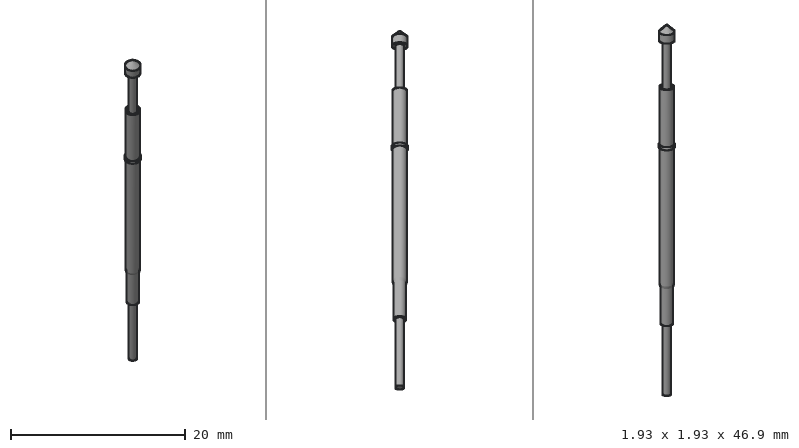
import cadquery as cq
import math

overall_length = 46.85

head_diameter = 1.8
head_rim_length = 1.1
point_height = head_diameter / 2
shaft_diameter = 1.0
barrel_diameter = 1.36
barrel_recess = 0.15

tail_diameter = 1.0
tail_length = 8.97
lower_diameter = 1.47
lower_length = 4.68
taper_length = 0.35
tube_diameter = 1.68
receptacle_length = 38.95
bore_diameter = barrel_diameter

ring_diameter = 1.93
ring_crest_z = 31.5
ring_half_height = 0.2

rim_top_z = overall_length - point_height
head_bottom_z = rim_top_z - head_rim_length
barrel_top_z = receptacle_length - barrel_recess
taper_bottom_z = tail_length + lower_length
taper_top_z = taper_bottom_z + taper_length
bore_floor_z = taper_top_z
ring_bottom_z = ring_crest_z - ring_half_height
ring_top_z = ring_crest_z + ring_half_height

ring_bulge = (ring_diameter - tube_diameter) / 2
bulge_arc_radius = (ring_half_height**2 + ring_bulge**2) / (2 * ring_bulge)
bulge_center_radius = ring_diameter / 2 - bulge_arc_radius
ring_shoulder_radius = bulge_center_radius + math.sqrt(bulge_arc_radius**2 - (ring_half_height / 2) ** 2)


def revolve_about_z(profile):
    """Turn a closed half outline, drawn as (radius, z), about the Z axis."""
    return profile.close().revolve(360, (0, 0), (0, 1))


def make_plunger():
    profile = cq.Workplane("XZ").polyline([
        (0, bore_floor_z),
        (barrel_diameter / 2, bore_floor_z),
        (barrel_diameter / 2, barrel_top_z),
        (shaft_diameter / 2, barrel_top_z),
        (shaft_diameter / 2, head_bottom_z),
        (head_diameter / 2, head_bottom_z),
        (head_diameter / 2, rim_top_z),
        (0, overall_length),
    ])
    return revolve_about_z(profile)


def make_receptacle():
    ring_crest = (ring_diameter / 2, ring_crest_z)
    lower_shoulder = (ring_shoulder_radius, ring_crest_z - ring_half_height / 2)
    upper_shoulder = (ring_shoulder_radius, ring_crest_z + ring_half_height / 2)
    profile = (
        cq.Workplane("XZ")
        .moveTo(0, 0)
        .lineTo(tail_diameter / 2, 0)
        .lineTo(tail_diameter / 2, tail_length)
        .lineTo(lower_diameter / 2, tail_length)
        .lineTo(lower_diameter / 2, taper_bottom_z)
        .lineTo(tube_diameter / 2, taper_top_z)
        .lineTo(tube_diameter / 2, ring_bottom_z)
        .threePointArc(lower_shoulder, ring_crest)
        .threePointArc(upper_shoulder, (tube_diameter / 2, ring_top_z))
        .lineTo(tube_diameter / 2, receptacle_length)
        .lineTo(bore_diameter / 2, receptacle_length)
        .lineTo(bore_diameter / 2, bore_floor_z)
        .lineTo(0, bore_floor_z)
    )
    return revolve_about_z(profile)


plunger = make_plunger()
receptacle = make_receptacle()

result = cq.Compound.makeCompound([plunger.val(), receptacle.val()])